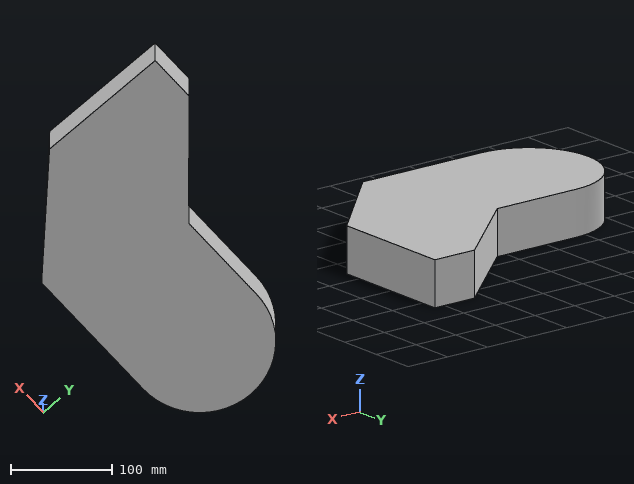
import cadquery as cq

length = 325.0
width = 240.0
thickness = 50.0
end_radius = 75.0
corner_cut = 100.0
top_edge = 50.0
notch_x = 175.0

arm_width = 2 * end_radius

result = (
    cq.Workplane("XY")
    .moveTo(end_radius, 0)
    .lineTo(length - corner_cut, 0)
    .lineTo(length, corner_cut)
    .lineTo(length, width)
    .lineTo(length - top_edge, width)
    .lineTo(notch_x, arm_width)
    .lineTo(end_radius, arm_width)
    .threePointArc((0, end_radius), (end_radius, 0))
    .close()
    .extrude(thickness)
)